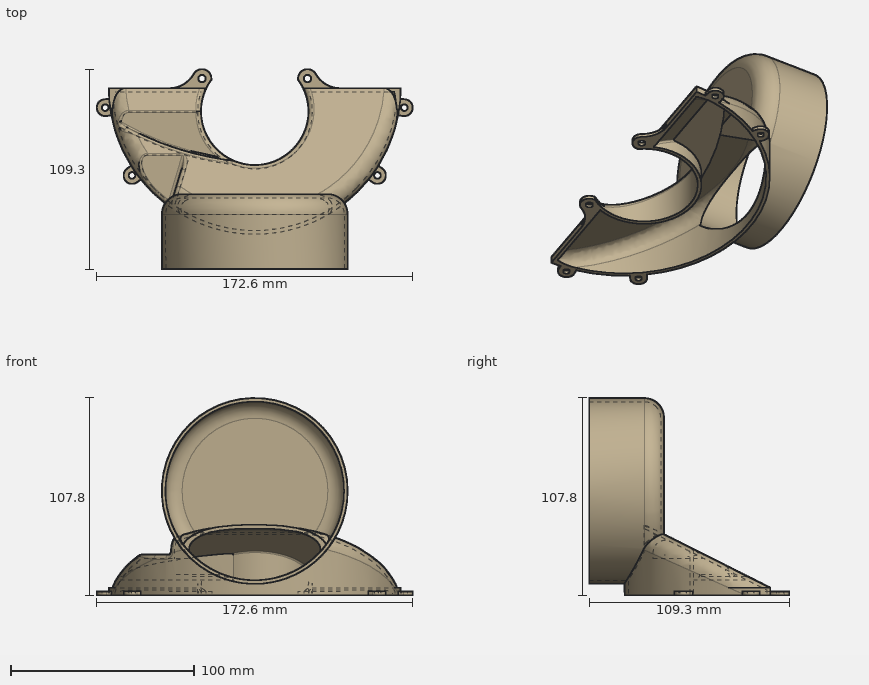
import cadquery as cq
import math

WALL = 2.0

DUCT_RADIUS = 79.7
BORE_RADIUS = 29.3
BORE_Y = -12.7
REAR_HEIGHT = 4.2
TOP_SLOPE = 26.7
SHOULDER_RADIUS = 9.0
BORE_EDGE_RADIUS = 3.0
LEDGE_WIDTH = 10.0
BELOW = 25.0
BEHIND = 6.0
HIGH = 60.0

CUP_RADIUS = 50.8
CUP_BORE_RADIUS = CUP_RADIUS - WALL
CUP_CENTRE_Z = 57.0
CUP_BACK_Y = -57.9
CUP_MOUTH_Y = -98.9
CUP_BACK_ROUNDING = 11.0
DUCT_LIP_Y = -69.0

REAR_FLOOR_Z = 10.5
REAR_WALL_START = (-84.0, -12.7)
REAR_WALL_MIDDLE = (-39.3, -34.0)
REAR_WALL_END = (-8.0, -40.1)
REAR_FOOT_RADIUS = 1.0
REAR_RIM_RADIUS = 2.5
SIDE_FLOOR_Z = 22.3
SIDE_CORNER = (-36.6, -32.9)
SIDE_WALL_END = (-47.6, -69.7)
SIDE_FOOT_RADIUS = 2.0
SIDE_RIM_RADIUS = 2.5

LUG_THICKNESS = 2.2
SIDE_LUG_RADIUS = 4.65
SIDE_LUG_HOLE = 3.5
SIDE_LUG_CENTRES = [(81.65, -10.7), (67.0, -47.7)]
REAR_LUG_RADIUS = 5.2
REAR_LUG_HOLE = 3.89
REAR_LUG_CENTRE = (28.8, 5.2)
REAR_WEB_END_X = 46.6


def block(x0, x1, y0, y1, z0, z1):
    return cq.Workplane("XY").box(x1 - x0, y1 - y0, z1 - z0, False).translate((x0, y0, z0))


def cylinder_z(radius, x, y, z0, z1):
    return cq.Workplane("XY").workplane(offset=z0).center(x, y).circle(radius).extrude(z1 - z0)


def cylinder_y(radius, y0, y1):
    """Cylinder on the cup axis from y0 toward -Y up to y1."""
    return (
        cq.Workplane("XZ", origin=(0, y0, CUP_CENTRE_Z)).circle(radius).extrude(y0 - y1)
    )


def roof_height(y, inset):
    """Height of the sloping top at y, lowered square to itself by inset."""
    slope = math.radians(TOP_SLOPE)
    return REAR_HEIGHT - y * math.tan(slope) - inset / math.cos(slope)


def roof_y(height):
    """Y at which the sloping top has the given height."""
    return (REAR_HEIGHT - height) / math.tan(math.radians(TOP_SLOPE))


def plain_duct(inset):
    """Duct without bore or recesses, its faces moved inward by inset, reaching past the rear face."""
    outer = DUCT_RADIUS - inset
    front = -DUCT_RADIUS
    wedge = (
        cq.Workplane("YZ", origin=(-DUCT_RADIUS, 0, 0))
        .polyline([
            (BEHIND, -BELOW),
            (BEHIND, roof_height(BEHIND, inset)),
            (front, roof_height(front, inset)),
            (front, -BELOW),
        ])
        .close()
        .extrude(2 * DUCT_RADIUS)
    )
    body = wedge.intersect(cylinder_z(outer, 0, 0, -BELOW, HIGH))
    return body.edges("%ELLIPSE").fillet(SHOULDER_RADIUS - inset)


def bored_duct(inset):
    """Plain duct with its bore and the rounded edge between the bore and the sloping top."""
    body = plain_duct(inset).cut(cylinder_z(BORE_RADIUS + inset, 0, BORE_Y, -BELOW, HIGH))
    reach = BORE_RADIUS + inset + 1
    bore_zone = cq.selectors.BoxSelector(
        (-reach, BORE_Y - reach, -WALL), (reach, BEHIND - 0.1, HIGH)
    )
    return body.edges(bore_zone).fillet(BORE_EDGE_RADIUS - inset)


def rear_recess(inset, floor_radius):
    """Space above the rear floor, bounded toward -Y by an upright curved wall."""
    start, middle, end = [(x, y - inset) for x, y in (REAR_WALL_START, REAR_WALL_MIDDLE, REAR_WALL_END)]
    space = (
        cq.Workplane("XY", origin=(0, 0, REAR_FLOOR_Z - inset))
        .moveTo(start[0], 2 * BEHIND)
        .lineTo(*start)
        .threePointArc(middle, end)
        .lineTo(end[0], 2 * BEHIND)
        .close()
        .extrude(HIGH)
    )
    if floor_radius:
        wall_foot = space.faces("<Z").edges("%CIRCLE")
        space = wall_foot.fillet(floor_radius)
    return space


def side_recess(inset, floor_radius):
    """Space above the side floor, bounded toward +X by an upright flat wall."""
    corner_x, corner_y = SIDE_CORNER
    end_x, end_y = SIDE_WALL_END
    space = (
        cq.Workplane("XY", origin=(0, 0, SIDE_FLOOR_Z - inset))
        .moveTo(-DUCT_RADIUS, corner_y)
        .lineTo(corner_x + inset, corner_y)
        .lineTo(end_x + inset, end_y)
        .lineTo(-DUCT_RADIUS, end_y)
        .close()
        .extrude(HIGH)
    )
    if floor_radius:
        wall_foot = cq.selectors.BoxSelector(
            (end_x, end_y, 0), (corner_x, corner_y, SIDE_FLOOR_Z + 1)
        )
        space = space.edges(wall_foot).fillet(floor_radius)
    return space


def bore_with_rounding():
    """Bore together with the flare that rounds its edge on the sloping top."""
    core_radius = BORE_RADIUS + 2 * BORE_EDGE_RADIUS
    return cylinder_z(core_radius, 0, BORE_Y, -BELOW, HIGH).cut(bored_duct(0))


def floor_bore_rounding():
    """Material removed to round the edge between the rear floor and the bore."""
    radius = BORE_EDGE_RADIUS
    foot_z = REAR_FLOOR_Z - radius
    arc_reach = radius * math.sqrt(0.5)
    ring = (
        cq.Workplane("XZ")
        .moveTo(BORE_RADIUS - 1, foot_z)
        .lineTo(BORE_RADIUS, foot_z)
        .threePointArc(
            (BORE_RADIUS + radius - arc_reach, foot_z + arc_reach),
            (BORE_RADIUS + radius, REAR_FLOOR_Z),
        )
        .lineTo(BORE_RADIUS + radius, REAR_FLOOR_Z + 1)
        .lineTo(BORE_RADIUS - 1, REAR_FLOOR_Z + 1)
        .close()
        .revolve(360, (0, 0, 0), (0, 1, 0))
        .translate((0, BORE_Y, 0))
    )
    return ring.intersect(rear_recess(radius, 0).translate((0, radius, 0)))


def rounded_cut(body, recess, rim_point, rim_radius):
    """Cut a recess and round the rim that passes closest to rim_point."""
    rim = cq.selectors.NearestToPointSelector(rim_point)
    return body.cut(recess).edges(rim).fillet(rim_radius)


def duct_outside():
    rear_rim = (REAR_WALL_MIDDLE[0], roof_y(REAR_FLOOR_Z), REAR_FLOOR_Z)
    side_rim = (SIDE_WALL_END[0], roof_y(SIDE_FLOOR_Z), SIDE_FLOOR_Z)
    body = plain_duct(0)
    body = rounded_cut(body, rear_recess(0, REAR_FOOT_RADIUS), rear_rim, REAR_RIM_RADIUS)
    body = rounded_cut(body, side_recess(0, SIDE_FOOT_RADIUS), side_rim, SIDE_RIM_RADIUS)
    body = body.cut(floor_bore_rounding())
    body = body.cut(bore_with_rounding())
    body = body.intersect(block(-100, 100, -100, 0, 0, HIGH))
    ledge = cylinder_z(DUCT_RADIUS, 0, 0, 0, REAR_HEIGHT)
    ledge = ledge.cut(cylinder_z(DUCT_RADIUS - LEDGE_WIDTH, 0, 0, 0, REAR_HEIGHT))
    ledge = ledge.intersect(block(-100, 100, -100, 0, 0, HIGH))
    return body.union(ledge)


def duct_inside():
    body = bored_duct(WALL)
    body = body.cut(rear_recess(WALL, 0))
    body = body.cut(side_recess(WALL, 0))
    return body.intersect(block(-100, 100, -100, -WALL, -BELOW, HIGH))


def cup_outside():
    cup = cylinder_y(CUP_RADIUS, CUP_BACK_Y, CUP_MOUTH_Y)
    return cup.faces(">Y").edges().fillet(CUP_BACK_ROUNDING)


def cup_inside():
    space = cylinder_y(CUP_BORE_RADIUS, CUP_BACK_Y - WALL, CUP_MOUTH_Y)
    return space.faces(">Y").edges().fillet(CUP_BACK_ROUNDING - WALL)


def side_lug(x, y):
    """Round lug with a straight neck running into the duct wall along its radius."""
    reach = math.hypot(x, y)
    neck_length = reach - DUCT_RADIUS + WALL
    neck = block(-neck_length, 0, -SIDE_LUG_RADIUS, SIDE_LUG_RADIUS, 0, LUG_THICKNESS)
    neck = neck.rotate((0, 0, 0), (0, 0, 1), math.degrees(math.atan2(y, x))).translate((x, y, 0))
    lug = cylinder_z(SIDE_LUG_RADIUS, x, y, 0, LUG_THICKNESS).union(neck)
    return lug.cut(cylinder_z(SIDE_LUG_HOLE / 2, x, y, 0, LUG_THICKNESS))


def rear_lug():
    """Round lug whose web has a hollow edge, tangent to the lug and to the rear face."""
    x, y = REAR_LUG_CENTRE
    run = REAR_WEB_END_X - x
    hollow = (run**2 + y**2 - REAR_LUG_RADIUS**2) / (2 * (y + REAR_LUG_RADIUS))
    to_lug = math.atan2(y - hollow, -run)
    mid_angle = (to_lug - math.pi / 2) / 2
    touch, middle = [
        (REAR_WEB_END_X + hollow * math.cos(angle), hollow + hollow * math.sin(angle))
        for angle in (to_lug, mid_angle)
    ]
    web = (
        cq.Workplane("XY")
        .moveTo(REAR_WEB_END_X, 0)
        .threePointArc(middle, touch)
        .lineTo(x, y)
        .lineTo(x - REAR_LUG_RADIUS, y)
        .lineTo(x - REAR_LUG_RADIUS, BORE_Y)
        .lineTo(x + REAR_LUG_RADIUS, BORE_Y)
        .lineTo(x + REAR_LUG_RADIUS, 0)
        .close()
        .extrude(LUG_THICKNESS)
    )
    lug = web.union(cylinder_z(REAR_LUG_RADIUS, x, y, 0, LUG_THICKNESS))
    lug = lug.cut(cylinder_z(BORE_RADIUS, 0, BORE_Y, 0, LUG_THICKNESS))
    return lug.cut(cylinder_z(REAR_LUG_HOLE / 2, x, y, 0, LUG_THICKNESS))


def build_part():
    duct = duct_outside().cut(cylinder_y(CUP_BORE_RADIUS, DUCT_LIP_Y, CUP_MOUTH_Y))
    part = cup_outside().cut(cup_inside()).union(duct)
    lugs = [side_lug(x, y) for x, y in SIDE_LUG_CENTRES] + [rear_lug()]
    for lug in lugs:
        part = part.union(lug).union(lug.mirror("YZ"))
    return part.cut(duct_inside())


result = build_part()